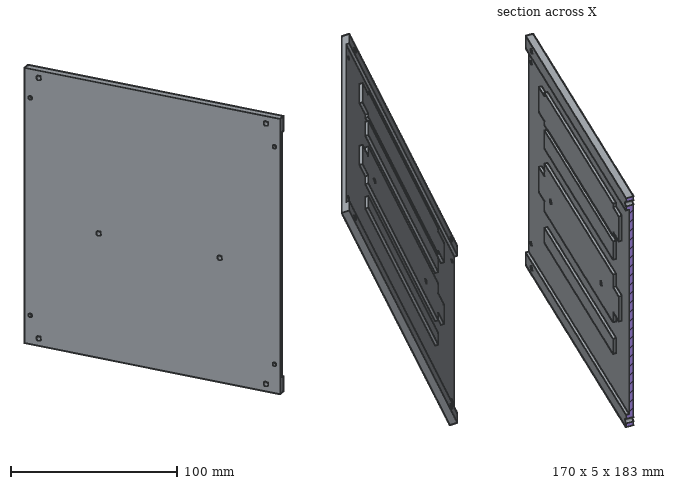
import cadquery as cq

width = 170.0
thickness = 5.0
height = 183.0

skin = 3.0
rail_height = 10.0

plain_pads = [(25.6, 40.3), (-49.6, -37.5)]
stepped_pads = [(44.3, 47.5, 67.5, 70.3), (-24.3, -16.3, 3.7, 13.7)]
pad_width = 109.8
band_width = 128.1

large_hole = 3.1
small_hole = 2.4
corner_hole_x = 75.5
corner_hole_z = 86.5
side_hole_x = 81.3
side_hole_z = 72.3
middle_holes = [(-35.7, -8.8), (44.8, -8.8)]

front = -thickness / 2


def block(size_x, depth, bottom, top):
    """Box centred on X, running back from the front face."""
    return cq.Workplane("XY").box(size_x, depth, top - bottom, centered=(True, False, False)).translate(
        (0, front, bottom)
    )


def mirrored(x, z):
    """The four points that mirror (x, z) about both plate centre lines."""
    return [(sx * x, sz * z) for sx in (-1, 1) for sz in (-1, 1)]


def drills(diameter, points):
    """Cylinders along Y through the full thickness."""
    plane = cq.Workplane("XZ", origin=(0, thickness / 2, 0))
    return plane.pushPoints(points).circle(diameter / 2).extrude(thickness)


half = height / 2
result = block(width, skin, -half, half)
result = result.union(block(width, thickness, half - rail_height, half))
result = result.union(block(width, thickness, -half, rail_height - half))

for bottom, top in plain_pads:
    result = result.union(block(pad_width, thickness, bottom, top))

for bottom, band_bottom, band_top, top in stepped_pads:
    result = result.union(block(pad_width, thickness, bottom, top))
    result = result.union(block(band_width, thickness, band_bottom, band_top))

result = result.cut(drills(large_hole, mirrored(corner_hole_x, corner_hole_z) + middle_holes))
result = result.cut(drills(small_hole, mirrored(side_hole_x, side_hole_z)))